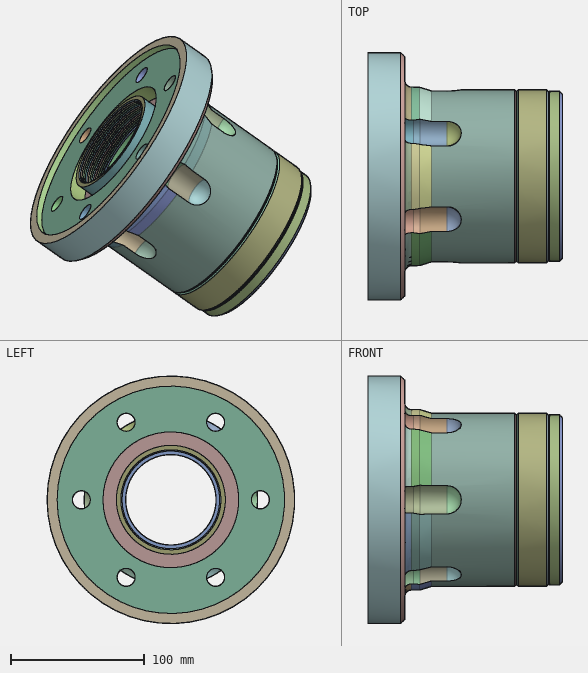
import cadquery as cq
import math

flange_radius = 92.5
flange_back = 27.5
flange_chamfer = 3.1
hub_radius = 67.5
hub_fillet = 5.0
hub_cone_start = 38.7
hub_cone_end = 47.5
body_radius = 64.8
joint = 110.6
joint_chamfer = 1.1
joint_land = 0.5
rim_recess_radius = 85.0
rim_recess_depth = 4.8
sleeve_recess_radius = 50.7
sleeve_recess_floor = 18.5

screw_count = 6
screw_circle_radius = 66.8
screw_hole_radius = 6.7
slot_head_radius = 10.0
slot_radius = 11.0
slot_taper_start = 34.0
slot_taper_end = 39.0
slot_round_centre = 59.0

bore_radius = 33.7
sleeve_radius = 40.7
sleeve_front = 2.0
thread_minor_radius = 36.5
thread_major_radius = 37.4
thread_pitch = 1.5
thread_turns = 13

cap_end = 145.5
cap_edge_chamfer = 1.7
cap_edge_start = 133.4
undercut_radius = 62.5
undercut_end = 135.8
cap_lip_radius = 63.6
cap_lip_chamfer = 2.4


def turned(points):
    """Solid of revolution about X from a closed outline of (x, radius) points."""
    return cq.Workplane("XY").polyline(points).close().revolve(360, (0, 0, 0), (1, 0, 0))


def disc(start, end, radius):
    """Round bar along X between two X positions."""
    return cq.Workplane("YZ", origin=(start, 0, 0)).circle(radius).extrude(end - start)


def make_screw_cut():
    """Screw hole with its stepped, round-ended driver slot, centred on the X axis."""
    hole = disc(0, flange_back, screw_hole_radius)
    slot = turned([
        (flange_back, 0),
        (flange_back, slot_head_radius),
        (slot_taper_start, slot_head_radius),
        (slot_taper_end, slot_radius),
        (slot_round_centre, slot_radius),
        (slot_round_centre, 0),
    ])
    round_end = cq.Workplane("XY").sphere(slot_radius).translate((slot_round_centre, 0, 0))
    return hole.union(slot).union(round_end)


def make_housing():
    """Flange and slotted body, recessed at the front and bored for the sleeve."""
    fillet_middle = hub_fillet * (1 - math.sqrt(0.5))
    outer = (
        cq.Workplane("XY")
        .moveTo(0, 0)
        .lineTo(0, flange_radius)
        .lineTo(flange_back - flange_chamfer, flange_radius)
        .lineTo(flange_back, flange_radius - flange_chamfer)
        .lineTo(flange_back, hub_radius + hub_fillet)
        .threePointArc(
            (flange_back + fillet_middle, hub_radius + fillet_middle),
            (flange_back + hub_fillet, hub_radius),
        )
        .lineTo(hub_cone_start, hub_radius)
        .lineTo(hub_cone_end, body_radius)
        .lineTo(joint - joint_chamfer, body_radius)
        .lineTo(joint, body_radius - joint_chamfer)
        .lineTo(joint, 0)
        .close()
        .revolve(360, (0, 0, 0), (1, 0, 0))
    )
    housing = (
        outer
        .cut(disc(0, rim_recess_depth, rim_recess_radius))
        .cut(disc(0, sleeve_recess_floor, sleeve_recess_radius))
        .cut(disc(0, joint, sleeve_radius))
    )
    screw_cut = make_screw_cut().translate((0, screw_circle_radius, 0))
    for index in range(screw_count):
        angle = index * 360 / screw_count
        housing = housing.cut(screw_cut.rotate((0, 0, 0), (1, 0, 0), angle))
    return housing


def make_sleeve():
    """Tube with a thread of V-shaped rings at its front end, reaching back to the joint."""
    thread_end = sleeve_front + thread_turns * thread_pitch
    outline = [(sleeve_front, sleeve_radius)]
    for turn in range(thread_turns):
        root = sleeve_front + turn * thread_pitch
        outline.append((root, thread_major_radius))
        outline.append((root + thread_pitch / 2, thread_minor_radius))
    outline += [
        (thread_end, thread_major_radius),
        (thread_end, bore_radius),
        (joint, bore_radius),
        (joint, sleeve_radius),
    ]
    return turned(outline)


def make_end_cap():
    """Ring closing the back of the housing, with an undercut before its end lip."""
    cap_edge_end = cap_edge_start + cap_edge_chamfer
    return turned([
        (joint, bore_radius),
        (joint, body_radius - joint_chamfer),
        (joint + joint_land, body_radius - joint_chamfer),
        (joint + joint_land + joint_chamfer, body_radius),
        (cap_edge_start, body_radius),
        (cap_edge_end, body_radius - cap_edge_chamfer),
        (cap_edge_end, undercut_radius),
        (undercut_end, undercut_radius),
        (undercut_end, cap_lip_radius),
        (cap_end - cap_lip_chamfer, cap_lip_radius),
        (cap_end, cap_lip_radius - cap_lip_chamfer),
        (cap_end, bore_radius),
    ])


housing = make_housing()
sleeve = make_sleeve()
end_cap = make_end_cap()

result = cq.Compound.makeCompound([housing.val(), sleeve.val(), end_cap.val()])